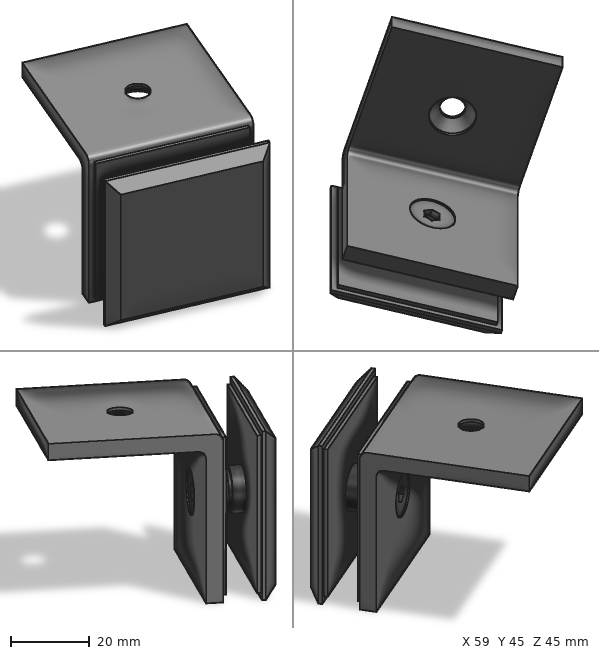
import cadquery as cq

total_length = 59.0
side = 45.0
middle = side / 2
leg_thickness = 4.4
bend_radius = 2.1

plate_edge = 1.0
plate_bevel = 3.0
gasket_thickness = 1.0
gasket_side = 42.0

boss_diameter = 12.2
spigot_diameter = 10.5
boss_gap = 1.0

shank_diameter = 6.0
clearance_diameter = 6.5
head_diameter = 12.0
mouth_depth = 0.9
head_recess = 0.5
socket_across_corners = 4.8
socket_depth = 2.0

bracket_face = side
inner_face = bracket_face - leg_thickness
plate_face = total_length - plate_edge - plate_bevel
gap_center = (bracket_face + plate_face) / 2
bracket_boss_end = gap_center - boss_gap / 2
plate_boss_end = gap_center + boss_gap / 2
head_top = inner_face + head_recess
cone_start = inner_face + mouth_depth
cone_end = cone_start + (head_diameter - shank_diameter) / 2
shank_end = plate_face


def rod(diameter, start, end):
    """Cylinder on the clamping axis, between two X stations."""
    plane = cq.Workplane("YZ", origin=(start, middle, middle))
    return plane.circle(diameter / 2).extrude(end - start)


def block(size, start, end):
    """Square plate centred on the clamping axis, between two X stations."""
    plane = cq.Workplane("YZ", origin=(start, middle, middle))
    return plane.rect(size, size).extrude(end - start)


def countersunk_cutter(length):
    """Countersunk hole shape along +Z, with its mouth at the origin."""
    mouth = head_diameter / 2
    bore = clearance_diameter / 2
    sink_depth = mouth_depth + mouth - bore
    profile = [(0, 0), (mouth, 0), (mouth, mouth_depth), (bore, sink_depth), (bore, length), (0, length)]
    return cq.Workplane("XZ").polyline(profile).close().revolve(360, (0, 0), (0, 1))


def make_bracket():
    """Bent angle with a boss on its upright leg and a countersunk hole in each leg."""
    outline = [
        (0, side),
        (side, side),
        (side, 0),
        (inner_face, 0),
        (inner_face, side - leg_thickness),
        (0, side - leg_thickness),
    ]
    body = cq.Workplane("XZ").polyline(outline).close().extrude(-side)
    for corner in ((side, middle, side), (inner_face, middle, side - leg_thickness)):
        body = body.edges(cq.selectors.NearestToPointSelector(corner)).fillet(bend_radius)
    body = body.union(rod(boss_diameter, bracket_face, bracket_boss_end))

    mounting_hole = countersunk_cutter(leg_thickness).translate((middle, middle, side - leg_thickness))
    screw_hole = countersunk_cutter(bracket_boss_end - inner_face)
    screw_hole = screw_hole.rotate((0, 0, 0), (0, 1, 0), 90).translate((inner_face, middle, middle))
    return body.cut(mounting_hole).cut(screw_hole)


def make_gasket(start):
    """Thin square pad with a hole that fits around a boss."""
    end = start + gasket_thickness
    return block(gasket_side, start, end).cut(rod(boss_diameter, start, end))


def make_clamp_plate():
    """Bevelled plate whose boss ends in a spigot that meets the bracket boss."""
    body = block(side, plate_face, total_length).faces(">X").chamfer(plate_bevel)
    body = body.union(rod(boss_diameter, plate_boss_end, plate_face))
    body = body.union(rod(spigot_diameter, bracket_boss_end, plate_boss_end))
    return body.cut(rod(shank_diameter, bracket_boss_end, shank_end))


def make_screw():
    """Countersunk screw through bracket and clamp plate boss, with a hexagon socket."""
    profile = [
        (head_top, 0),
        (head_top, head_diameter / 2),
        (cone_start, head_diameter / 2),
        (cone_end, shank_diameter / 2),
        (shank_end, shank_diameter / 2),
        (shank_end, 0),
    ]
    body = cq.Workplane("XY").polyline(profile).close().revolve(360, (0, 0), (1, 0))
    body = body.translate((0, middle, middle))
    socket = cq.Workplane("YZ", origin=(head_top, middle, middle))
    socket = socket.transformed(rotate=(0, 0, 90)).polygon(6, socket_across_corners).extrude(socket_depth)
    return body.cut(socket)


bracket = make_bracket()
gaskets = [make_gasket(start) for start in (bracket_face, plate_face - gasket_thickness)]
clamp_plate = make_clamp_plate()
screw = make_screw()

result = cq.Compound.makeCompound(
    [bracket.val(), *[gasket.val() for gasket in gaskets], clamp_plate.val(), screw.val()]
)